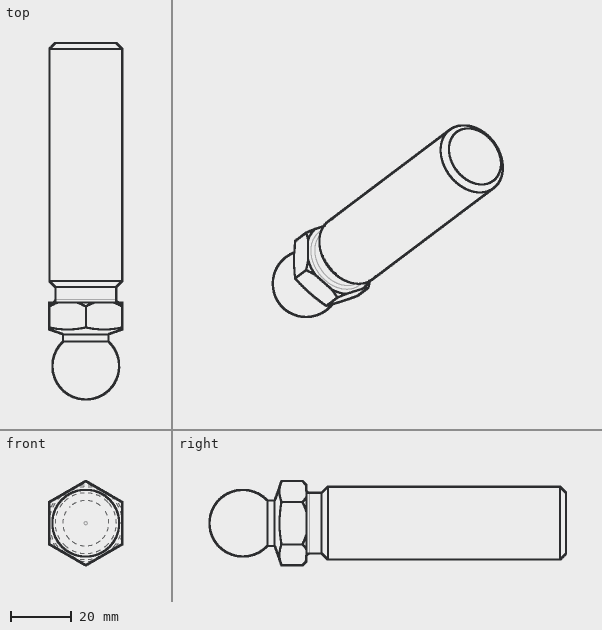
import cadquery as cq
import math

length = 117.0
shank_radius = 12.0
shank_chamfer = 2.0
relief_radius = shank_radius - shank_chamfer
shank_start = 38.9

ball_radius = 11.0
ball_neck_radius = 7.5
tip_flat_radius = 0.53

hex_across_flats = 2 * shank_radius
hex_corner_radius = hex_across_flats / math.sqrt(3)
hex_front = 21.4
hex_front_corner = 23.6
hex_back = 31.8
hex_back_chamfer = 1.3
relief_fillet = 0.9

ball_center = math.sqrt(ball_radius**2 - tip_flat_radius**2)
neck_start = ball_center + math.sqrt(ball_radius**2 - ball_neck_radius**2)


def turned_stud():
    """Ball, ball neck, filleted relief groove and chamfered shank."""
    profile = (
        cq.Workplane("XY")
        .lineTo(tip_flat_radius, 0)
        .threePointArc((ball_radius, ball_center), (ball_neck_radius, neck_start))
        .lineTo(ball_neck_radius, hex_front_corner)
        .lineTo(relief_radius + relief_fillet, hex_front_corner)
        .lineTo(relief_radius + relief_fillet, hex_back)
        .radiusArc((relief_radius, hex_back + relief_fillet), relief_fillet)
        .lineTo(relief_radius, shank_start - shank_chamfer)
        .lineTo(shank_radius, shank_start)
        .lineTo(shank_radius, length - shank_chamfer)
        .lineTo(shank_radius - shank_chamfer, length)
        .lineTo(0, length)
        .close()
    )
    return profile.revolve(360, (0, 0, 0), (0, 1, 0))


def hexagon_collar():
    """Hexagon with corners at +Z and -Z, with a front cone and a chamfered back."""
    prism = (
        cq.Workplane("XZ", origin=(0, hex_front, 0))
        .polygon(6, 2 * hex_corner_radius)
        .extrude(hex_front - hex_back)
        .rotate((0, 0, 0), (0, 1, 0), 30)
    )
    bevel_envelope = (
        cq.Workplane("XY")
        .moveTo(0, hex_front)
        .lineTo(ball_neck_radius, hex_front)
        .lineTo(hex_corner_radius, hex_front_corner)
        .lineTo(hex_corner_radius, hex_back - hex_back_chamfer)
        .lineTo(hex_corner_radius - hex_back_chamfer, hex_back)
        .lineTo(0, hex_back)
        .close()
        .revolve(360, (0, 0, 0), (0, 1, 0))
    )
    return prism.intersect(bevel_envelope)


result = turned_stud().union(hexagon_collar())